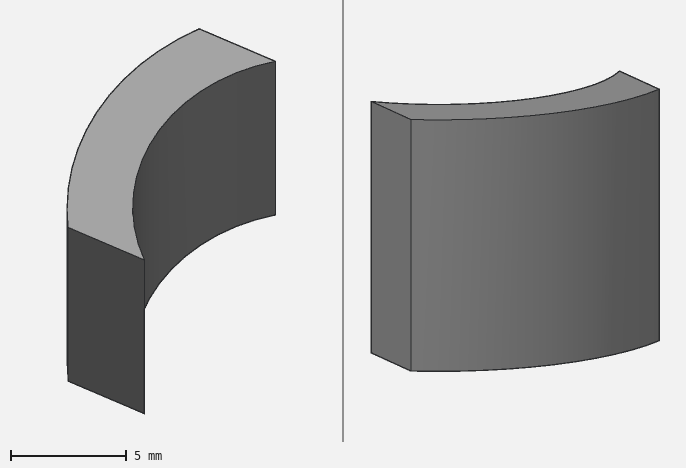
import cadquery as cq

width = 12.1
height = 11.2
depth = 5.55
outer_rise = 1.82
inner_rise = 2.72

half_width = width / 2
wall_at_crown = depth - inner_rise

result = (
    cq.Workplane("XY")
    .moveTo(outer_rise, -half_width)
    .lineTo(depth, -half_width)
    .threePointArc((wall_at_crown, 0), (depth, half_width))
    .lineTo(outer_rise, half_width)
    .threePointArc((0, 0), (outer_rise, -half_width))
    .close()
    .extrude(height)
)